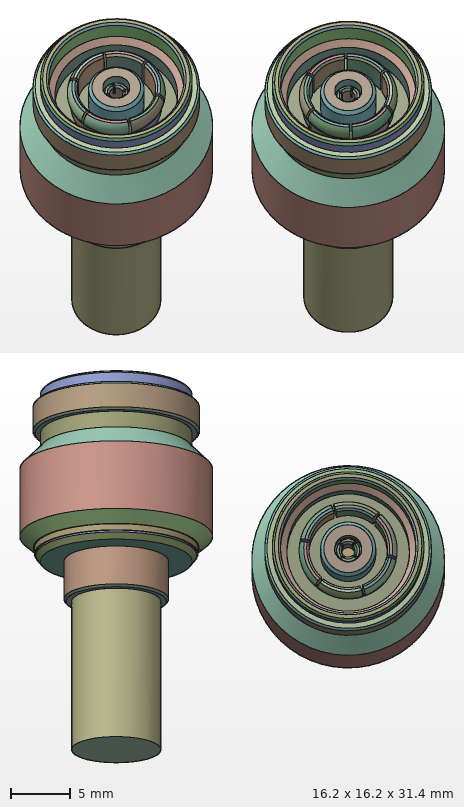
import cadquery as cq

total_height = 31.4
edge_chamfer = 0.2

tube_radius = 7.5 / 2
shoulder_radius = 4.4
shoulder_bottom = 13.03

lip_bottom = 16.55
lip_bottom_radius = 6.37
lip_chamfer_top = 17.05
lip_edge_radius = 6.78
lip_edge_top = 17.2
lip_radius = 6.88

body_radius = 8.1
body_cone_bottom = 17.75
body_cone_bottom_radius = 6.97
body_bottom = 18.7
body_top = 24.65
neck_bottom = 26.4

neck_radius = 6.37
collar_radius = 7.0
collar_bottom = 27.8
collar_top = 30.27

mouth_radius = 5.68
mouth_cone_top = 29.65
cavity_radius = 5.15
cavity_cone_bottom = 29.15
cavity_floor = 27.55

finger_count = 6
finger_slot_width = 0.22
finger_top = 30.2
finger_inner_radius = 3.3
finger_tip_inner_radius = finger_inner_radius + edge_chamfer
finger_tip_outer_radius = 3.75
finger_bulge_radius = 4.1
finger_bulge_height = 29.52
finger_root_radius = 3.83
finger_bulge_bottom = 28.65
finger_slot_reach = (finger_bulge_radius + cavity_radius) / 2

post_radius = 2.32
post_top = 30.18
post_chamfer = 0.28
post_bore_radius = 1.13

contact_top = 29.5
contact_radius = 0.97
contact_gap_bottom = 29.17
contact_hole_radius = 0.55
contact_countersink = 0.2
contact_slot_count = 4
contact_slot_width = 0.15
contact_slot_reach = 0.85
contact_slot_bottom = 28.5


def revolve_outline(outline):
    """Turn a closed (radius, height) outline around the Z axis."""
    return outline.close().revolve(360, (0, 0, 0), (0, 1, 0))


def turned(points):
    """Turn a straight-sided (radius, height) outline around the Z axis."""
    return revolve_outline(cq.Workplane("XZ").polyline(points))


def cut_slots(ring, count, reach, width, bottom, top):
    """Cut equally spaced slots out to a radius; each box makes two opposite slots (even count)."""
    slot = (
        cq.Workplane("XY", origin=(0, 0, bottom))
        .rect(2 * reach, width)
        .extrude(top - bottom)
    )
    for index in range(count // 2):
        ring = ring.cut(slot.rotate((0, 0, 0), (0, 0, 1), index * 360 / count))
    return ring


def make_outer_body():
    return turned([
        (0, 0),
        (tube_radius, 0),
        (tube_radius, shoulder_bottom),
        (shoulder_radius - edge_chamfer, shoulder_bottom),
        (shoulder_radius, shoulder_bottom + edge_chamfer),
        (shoulder_radius, lip_bottom),
        (lip_bottom_radius, lip_bottom),
        (lip_edge_radius, lip_chamfer_top),
        (lip_edge_radius, lip_edge_top),
        (lip_radius, lip_edge_top),
        (lip_radius, body_cone_bottom),
        (body_cone_bottom_radius, body_cone_bottom),
        (body_radius, body_bottom),
        (body_radius, body_top),
        (neck_radius, neck_bottom),
        (neck_radius, collar_bottom),
        (collar_radius - edge_chamfer, collar_bottom),
        (collar_radius, collar_bottom + edge_chamfer),
        (collar_radius, collar_top - edge_chamfer),
        (collar_radius - edge_chamfer, collar_top),
        (neck_radius, collar_top),
        (neck_radius, total_height - edge_chamfer),
        (neck_radius - edge_chamfer, total_height),
        (0, total_height),
    ])


def make_cavity():
    return turned([
        (0, cavity_floor),
        (cavity_radius, cavity_floor),
        (cavity_radius, cavity_cone_bottom),
        (mouth_radius, mouth_cone_top),
        (mouth_radius, total_height - edge_chamfer),
        (mouth_radius + edge_chamfer, total_height),
        (0, total_height),
    ])


def make_fingers():
    """Slotted ring with bulged outer faces."""
    outline = (
        cq.Workplane("XZ")
        .moveTo(finger_inner_radius, cavity_floor)
        .lineTo(finger_root_radius, cavity_floor)
        .lineTo(finger_root_radius, finger_bulge_bottom)
        .threePointArc(
            (finger_bulge_radius, finger_bulge_height),
            (finger_tip_outer_radius, finger_top),
        )
        .lineTo(finger_tip_inner_radius, finger_top)
        .lineTo(finger_inner_radius, finger_top - edge_chamfer)
    )
    ring = revolve_outline(outline)
    return cut_slots(
        ring,
        finger_count,
        finger_slot_reach,
        finger_slot_width,
        cavity_floor,
        finger_top,
    )


def make_post():
    """Tubular insulator around the centre contact."""
    return turned([
        (post_bore_radius, cavity_floor),
        (post_radius, cavity_floor),
        (post_radius, post_top - post_chamfer),
        (post_radius - post_chamfer, post_top),
        (post_bore_radius, post_top),
    ])


def make_contact():
    """Socket with grooves in its bore; its base fills the post bore below the gap."""
    socket = turned([
        (contact_hole_radius, cavity_floor),
        (post_bore_radius, cavity_floor),
        (post_bore_radius, contact_gap_bottom),
        (contact_radius, contact_gap_bottom),
        (contact_radius, contact_top),
        (contact_hole_radius + contact_countersink, contact_top),
        (contact_hole_radius, contact_top - contact_countersink),
    ])
    return cut_slots(
        socket,
        contact_slot_count,
        contact_slot_reach,
        contact_slot_width,
        contact_slot_bottom,
        contact_top,
    )


result = (
    make_outer_body()
    .cut(make_cavity())
    .union(make_fingers())
    .union(make_post().union(make_contact()))
)